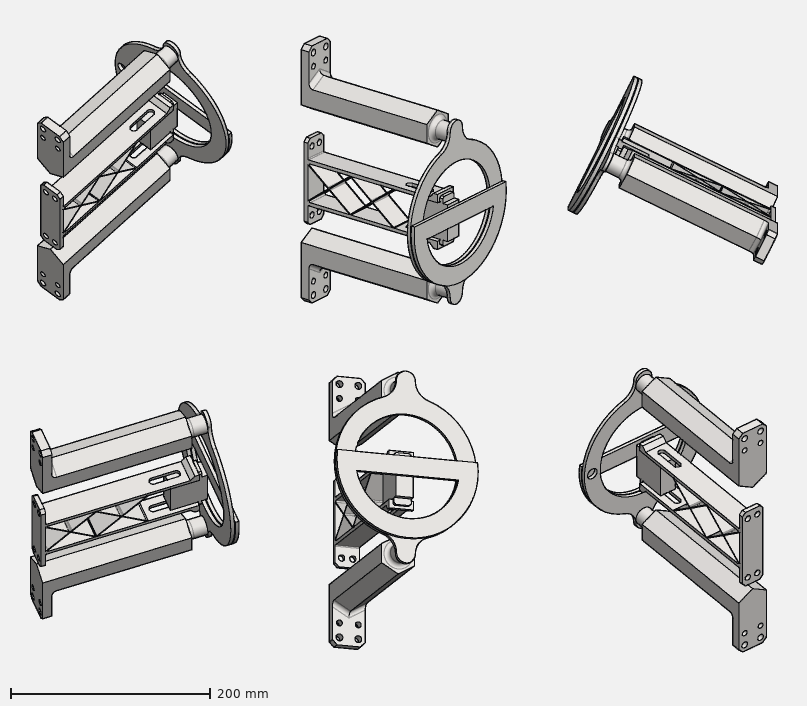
import cadquery as cq
import math


ring_outer_radius = 75
ring_inner_radius = 55
ring_front_y = 180
ring_thickness = 4
ear_offset = 90
ear_radius = 10
ear_blend_radius = 20
ring_hole_diameter = 12
ring_mean_radius = (ring_outer_radius + ring_inner_radius) / 2
ring_hole_x = -ring_mean_radius

half_ring_gap = 1
half_ring_thickness = 4
half_ring_front_y = ring_front_y + ring_thickness + half_ring_gap
bar_height = 20

post_offset = 85
hex_across_flats = 35
hex_circumdiameter = hex_across_flats / math.cos(math.radians(30))
post_length = 160
boss_diameter = 20
boss_blend_radius = 5
foot_thickness = 10
foot_end_z = 140
foot_corner_chamfer = 5
foot_blend_radius = 5
foot_hole_x = 10
foot_holes = [(132, 7), (117, 6)]

servo_center_z = -10
servo_width = 18.5
servo_height = 40
servo_back_y = 180
servo_front_y = 140
flange_front_y = 170
flange_thickness = 4
flange_height = 54
flange_corner_chamfer = 2

bracket_width = 26
base_thickness = 5
base_height = 94
base_corner_chamfer = 4
base_hole_diameter = 6.5
base_hole_spacing_x = 12
base_hole_spacing_z = 75
arm_gap = 42
arm_thickness = 4
arm_outer_z = arm_gap / 2 + arm_thickness
arm_end_y = flange_front_y
arm_blend_radius = 1
lip_length = 5
lip_height = 5
slot_width = 8
slot_length = 33
slot_center_y = 137.5
brace_count = 2
brace_pitch = 55
brace_thickness = 1
brace_blend_radius = 1
brace_angle = math.atan2(arm_gap, brace_pitch)
brace_start_y = base_thickness - brace_thickness / 2 / math.sin(brace_angle)
brace_crossings = [brace_start_y + brace_pitch * (index + 0.5) for index in range(brace_count)]


def xz_plane(y):
    """Workplane at depth y, with local axes X and Z; extrude a negative length to go toward +Y."""
    return cq.Workplane("XZ", origin=(0, y, 0))


def fillet_edge_along_x(body, y, z, radius):
    """Fillet the edge parallel to X that lies nearest to (y, z)."""
    nearest = cq.selectors.NearestToPointSelector((0, y, z))
    return body.edges("|X").edges(nearest).fillet(radius)


def make_ring():
    """Flat ring with an ear at the top and at the bottom and one hole at -X."""
    to_axis = ring_outer_radius + ear_blend_radius
    to_ear = ear_radius + ear_blend_radius
    blend_z = (to_axis**2 - to_ear**2 + ear_offset**2) / (2 * ear_offset)
    blend_x = math.sqrt(to_axis**2 - blend_z**2)

    on_ring = ring_outer_radius / to_axis
    ring_x, ring_z = blend_x * on_ring, blend_z * on_ring
    on_ear = ear_radius / to_ear
    ear_x, ear_z = blend_x * on_ear, ear_offset + (blend_z - ear_offset) * on_ear
    mid_angle = math.atan2((ring_z + ear_z) / 2 - blend_z, (ring_x + ear_x) / 2 - blend_x)
    mid_x = blend_x + ear_blend_radius * math.cos(mid_angle)
    mid_z = blend_z + ear_blend_radius * math.sin(mid_angle)

    outline = (
        xz_plane(ring_front_y)
        .moveTo(ring_x, -ring_z)
        .threePointArc((ring_outer_radius, 0), (ring_x, ring_z))
        .threePointArc((mid_x, mid_z), (ear_x, ear_z))
        .threePointArc((0, ear_offset + ear_radius), (-ear_x, ear_z))
        .threePointArc((-mid_x, mid_z), (-ring_x, ring_z))
        .threePointArc((-ring_outer_radius, 0), (-ring_x, -ring_z))
        .threePointArc((-mid_x, -mid_z), (-ear_x, -ear_z))
        .threePointArc((0, -ear_offset - ear_radius), (ear_x, -ear_z))
        .threePointArc((mid_x, -mid_z), (ring_x, -ring_z))
        .close()
        .extrude(-ring_thickness)
    )
    bore = xz_plane(ring_front_y).circle(ring_inner_radius).extrude(-ring_thickness)
    hole = (
        xz_plane(ring_front_y)
        .center(ring_hole_x, 0)
        .circle(ring_hole_diameter / 2)
        .extrude(-ring_thickness)
    )
    return outline.cut(bore).cut(hole)


def make_half_ring():
    """Lower half of a ring, closed by a bar across its bore that sets its flat top."""
    half_bar = bar_height / 2
    lower_height = ring_outer_radius + half_bar
    plane = xz_plane(half_ring_front_y)
    disc = plane.circle(ring_outer_radius).extrude(-half_ring_thickness)
    lower_part = (
        plane.center(0, half_bar - lower_height / 2)
        .rect(2 * ring_outer_radius, lower_height)
        .extrude(-half_ring_thickness)
    )
    bore = plane.circle(ring_inner_radius).extrude(-half_ring_thickness)
    bar = plane.rect(2 * ring_mean_radius, bar_height).extrude(-half_ring_thickness)
    return disc.intersect(lower_part).cut(bore).union(bar)


def make_post():
    """Upper post: its foot points up, its boss ends at the ring."""
    hexagon = (
        xz_plane(0)
        .center(0, post_offset)
        .transformed(rotate=(0, 0, 90))
        .polygon(6, hex_circumdiameter)
        .extrude(-post_length)
    )
    foot_height = foot_end_z - post_offset
    foot = (
        xz_plane(0)
        .center(0, post_offset + foot_height / 2)
        .rect(hex_across_flats, foot_height)
        .extrude(-foot_thickness)
        .edges("|Y and >Z")
        .chamfer(foot_corner_chamfer)
    )
    post = hexagon.union(foot)

    face_middle_x = hex_across_flats / 4
    hex_radius = hex_circumdiameter / 2
    face_middle_z = post_offset + (hex_radius + hex_radius / 2) / 2
    corners = []
    for x in (-face_middle_x, face_middle_x):
        corner = cq.selectors.NearestToPointSelector((x, foot_thickness, face_middle_z))
        corners.append(post.edges(corner).val())
    post = post.newObject(corners).fillet(foot_blend_radius)

    boss_radius = boss_diameter / 2
    blend_outer_radius = boss_radius + boss_blend_radius
    blend_end = post_length + boss_blend_radius
    blend_mid = boss_blend_radius * (1 - math.sqrt(0.5))
    boss = (
        cq.Workplane("XY", origin=(0, 0, post_offset))
        .moveTo(0, post_length)
        .lineTo(blend_outer_radius, post_length)
        .threePointArc((boss_radius + blend_mid, post_length + blend_mid), (boss_radius, blend_end))
        .lineTo(boss_radius, ring_front_y)
        .lineTo(0, ring_front_y)
        .close()
        .revolve(360, (0, 0, 0), (0, 1, 0))
    )
    post = post.union(boss)

    for hole_z, hole_diameter in foot_holes:
        holes = (
            xz_plane(0)
            .pushPoints([(-foot_hole_x, hole_z), (foot_hole_x, hole_z)])
            .circle(hole_diameter / 2)
            .extrude(-foot_thickness)
        )
        post = post.cut(holes)
    return post


def make_servo():
    """Plain case with a flange that is taller than the case and rests on the bracket lips."""
    case = (
        xz_plane(servo_front_y)
        .center(0, servo_center_z)
        .rect(servo_width, servo_height)
        .extrude(servo_front_y - servo_back_y)
    )
    flange = (
        xz_plane(flange_front_y)
        .center(0, servo_center_z)
        .rect(servo_width, flange_height)
        .extrude(-flange_thickness)
        .edges("|Y")
        .chamfer(flange_corner_chamfer)
    )
    return case.union(flange)


def make_arm():
    """Upper arm of the bracket with its end lip, before it is moved to the servo's height."""
    lip_start = arm_end_y - lip_length
    return (
        cq.Workplane("YZ")
        .moveTo(0, arm_gap / 2)
        .lineTo(arm_end_y, arm_gap / 2)
        .lineTo(arm_end_y, arm_outer_z + lip_height)
        .lineTo(lip_start, arm_outer_z + lip_height)
        .lineTo(lip_start - lip_height, arm_outer_z)
        .lineTo(0, arm_outer_z)
        .close()
        .extrude(bracket_width / 2, both=True)
    )


def make_braces():
    """Crossed webs between the arms, with a small blend in the four corners of each crossing."""
    length = math.hypot(brace_pitch, arm_gap) + arm_thickness
    braces = cq.Workplane()
    for cross_y in brace_crossings:
        for tilt in (-brace_angle, brace_angle):
            web = cq.Workplane().box(bracket_width, length, brace_thickness)
            web = web.rotate((0, 0, 0), (1, 0, 0), math.degrees(tilt)).translate((0, cross_y, 0))
            braces = braces.add(web)
    braces = braces.combine()

    corner_y = brace_thickness / 2 / math.sin(brace_angle)
    corner_z = brace_thickness / 2 / math.cos(brace_angle)
    for cross_y in brace_crossings:
        for step_y, step_z in ((-corner_y, 0), (corner_y, 0), (0, -corner_z), (0, corner_z)):
            braces = fillet_edge_along_x(braces, cross_y + step_y, step_z, brace_blend_radius)
    return braces


def make_bracket():
    """Base plate with two slotted arms joined by crossed webs."""
    base = (
        xz_plane(0)
        .rect(bracket_width, base_height)
        .extrude(-base_thickness)
        .edges("|Y")
        .chamfer(base_corner_chamfer)
    )
    arm = make_arm()
    bracket = base.union(arm).union(arm.mirror("XY"))
    bracket = bracket.union(make_braces())
    for side in (-1, 1):
        bracket = fillet_edge_along_x(bracket, base_thickness, side * arm_outer_z, arm_blend_radius)
        bracket = fillet_edge_along_x(bracket, base_thickness, side * arm_gap / 2, brace_blend_radius)

    base_holes = (
        xz_plane(0)
        .rarray(base_hole_spacing_x, base_hole_spacing_z, 2, 2)
        .circle(base_hole_diameter / 2)
        .extrude(-base_thickness)
    )
    slots = (
        cq.Workplane("XY")
        .center(0, slot_center_y)
        .slot2D(slot_length, slot_width, 90)
        .extrude(arm_outer_z, both=True)
    )
    return bracket.cut(base_holes).cut(slots).translate((0, 0, servo_center_z))


ring = make_ring()
half_ring = make_half_ring()
upper_post = make_post()
posts = [upper_post, upper_post.mirror("XY")]
servo = make_servo()
bracket = make_bracket()

result = cq.Compound.makeCompound(
    [
        ring.val(),
        half_ring.val(),
        *[post.val() for post in posts],
        servo.val(),
        bracket.val(),
    ]
)